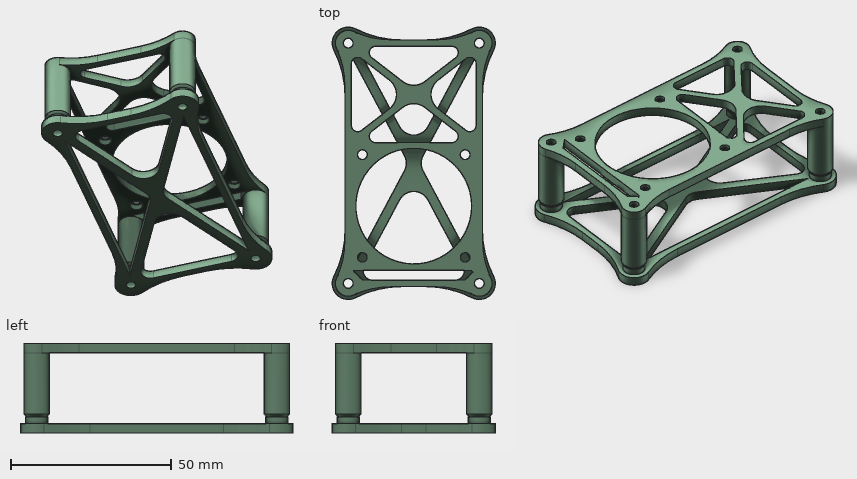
import cadquery as cq
import math

length = 84.9
width = 50.85
height = 28.0
plate_thickness = 3.0
base_corner_radius = 5.0
post_diameter = 8.0
post_x = width / 2 - base_corner_radius
post_y = length / 2 - base_corner_radius
side_offset = 1.0
side_x = post_x + side_offset
side_y = post_y + side_offset
base_flank_radius = 31.4
top_flank_radius = 27.2

screw_hole_diameter = 3.0
boss_diameter = 7.0
boss_height = 2.0
post_chamfer = 1.0
boss_top = plate_thickness + boss_height

rim = 2.0
window_half_x = side_x - rim
window_half_y = side_y - rim
base_rib = 3.0
base_hub_radius = 5.0
base_end_corner = 3.0
top_rib = 2.2
top_hub_radius = 5.7
top_corner = 1.95
top_window_bottom = 6.45

fan_y = -13.3
fan_diameter = 36.0
fan_hole_spacing = 32.0
fan_counterbore_diameter = 4.0
fan_counterbore_depth = 1.95
slot_depth = 3.05
slot_long_half = 18.85
slot_short_half = 15.9
slot_bevel_length = 1.0
slot_bevel_depth = 0.5

top_plate_bottom = height - plate_thickness
corner_axes = [(sx * post_x, sy * post_y) for sx in (-1, 1) for sy in (-1, 1)]


def plate(corner_radius, flank_radius, bottom):
    """Plate with four round corners, blended by tangent concave arcs into straight sides."""
    centre_gap = flank_radius + corner_radius
    rise = flank_radius + side_offset
    run = math.sqrt(centre_gap**2 - rise**2)

    side_end = (side_x, post_y - run)
    side_arc_centre = (side_x + flank_radius, post_y - run)
    end_arc_centre = (post_x - run, side_y + flank_radius)
    end_start = (post_x - run, side_y)

    def toward(start, target, distance):
        span = math.dist(start, target)
        return tuple(s + (t - s) * distance / span for s, t in zip(start, target))

    def flank_middle(arc_centre, plain_end, corner_end):
        chord_middle = ((plain_end[0] + corner_end[0]) / 2, (plain_end[1] + corner_end[1]) / 2)
        return toward(arc_centre, chord_middle, flank_radius)

    post = (post_x, post_y)
    corner_start = toward(post, side_arc_centre, corner_radius)
    corner_tip = toward(post, (2 * post_x, post_y + post_x), corner_radius)
    corner_end = toward(post, end_arc_centre, corner_radius)
    side_flank = flank_middle(side_arc_centre, side_end, corner_start)
    end_flank = flank_middle(end_arc_centre, end_start, corner_end)

    quarter = (
        cq.Workplane("XY", origin=(0, 0, bottom))
        .moveTo(0, 0)
        .lineTo(side_x, 0)
        .lineTo(*side_end)
        .threePointArc(side_flank, corner_start)
        .threePointArc(corner_tip, corner_end)
        .threePointArc(end_flank, end_start)
        .lineTo(0, side_y)
        .close()
        .extrude(plate_thickness)
    )
    half = quarter.union(quarter.mirror("YZ"))
    return half.union(half.mirror("XZ")).clean()


def cylinders(points, diameter, bottom, top):
    return (
        cq.Workplane("XY", origin=(0, 0, bottom)).pushPoints(points).circle(diameter / 2).extrude(top - bottom)
    )


def window_pockets(half_x, half_y, centre_y, rib, hub_radius, end_corner, side_corner, bottom):
    """Four triangular pockets left in a rectangle by ribs along its diagonals."""
    diagonal = math.hypot(half_x, half_y)
    apex_x = rib / 2 * diagonal / half_y
    apex_y = rib / 2 * diagonal / half_x
    base_half_x = half_x - apex_x
    base_half_y = half_y - apex_y
    triangles = []
    for sign in (-1, 1):
        end_points = [(0, sign * apex_y), (base_half_x, sign * half_y), (-base_half_x, sign * half_y)]
        side_points = [(sign * apex_x, 0), (sign * half_x, base_half_y), (sign * half_x, -base_half_y)]
        inward, outward = ("<", ">") if sign > 0 else (">", "<")
        triangles.append((end_points, inward + "Y", outward + "Y", end_corner))
        triangles.append((side_points, inward + "X", outward + "X", side_corner))

    pockets = cq.Workplane("XY")
    for points, apex_edge, corner_edges, corner_radius in triangles:
        pocket = (
            cq.Workplane("XY", origin=(0, centre_y, bottom))
            .polyline(points)
            .close()
            .extrude(plate_thickness)
        )
        if corner_radius > 0:
            pocket = pocket.edges("|Z").edges(corner_edges).fillet(corner_radius)
        pocket = pocket.edges("|Z").edges(apex_edge).fillet(hub_radius)
        pockets = pockets.add(pocket)
    return pockets.combine()


def make_base():
    """Bottom plate with a short boss at each corner."""
    base = plate(base_corner_radius, base_flank_radius, 0)
    base = base.cut(
        window_pockets(
            half_x=window_half_x,
            half_y=window_half_y,
            centre_y=0,
            rib=base_rib,
            hub_radius=base_hub_radius,
            end_corner=base_end_corner,
            side_corner=0,
            bottom=0,
        )
    )
    base = base.union(cylinders(corner_axes, boss_diameter, plate_thickness, boss_top))
    return base.cut(cylinders(corner_axes, screw_hole_diameter, 0, boss_top))


def end_slot():
    """Trapezoidal slot between the fan opening and the -Y rim, with its +X tip bevelled."""
    outer_y = -window_half_y
    inner_y = outer_y + slot_depth
    end_slope = (slot_long_half - slot_short_half) / slot_depth
    return (
        cq.Workplane("XY", origin=(0, 0, top_plate_bottom))
        .polyline(
            [
                (-slot_long_half, inner_y),
                (slot_long_half - slot_bevel_length, inner_y),
                (slot_long_half - slot_bevel_depth * end_slope, inner_y - slot_bevel_depth),
                (slot_short_half, outer_y),
                (-slot_short_half, outer_y),
            ]
        )
        .close()
        .extrude(plate_thickness)
    )


def make_cover():
    """Top plate with the fan opening and a long post hanging from each corner."""
    cover = plate(post_diameter / 2, top_flank_radius, top_plate_bottom)
    window_centre = (window_half_y + top_window_bottom) / 2
    window_height = window_half_y - top_window_bottom
    cover = cover.cut(
        window_pockets(
            half_x=window_half_x,
            half_y=window_height / 2,
            centre_y=window_centre,
            rib=top_rib,
            hub_radius=top_hub_radius,
            end_corner=top_corner,
            side_corner=top_corner,
            bottom=top_plate_bottom,
        )
    )
    cover = cover.cut(end_slot())

    fan_offset = fan_hole_spacing / 2
    fan_holes = [(sx * fan_offset, fan_y + sy * fan_offset) for sx in (-1, 1) for sy in (-1, 1)]
    cover = cover.cut(cylinders([(0, fan_y)], fan_diameter, top_plate_bottom, height))
    counterbore_top = top_plate_bottom + fan_counterbore_depth
    cover = cover.cut(cylinders(fan_holes, screw_hole_diameter, top_plate_bottom, height))
    cover = cover.cut(cylinders(fan_holes, fan_counterbore_diameter, top_plate_bottom, counterbore_top))

    posts = cylinders(corner_axes, post_diameter, boss_top, top_plate_bottom).faces("<Z").chamfer(post_chamfer)
    cover = cover.union(posts).clean()
    return cover.cut(cylinders(corner_axes, screw_hole_diameter, boss_top, height))


base = make_base()
cover = make_cover()
result = cq.Compound.makeCompound([base.solids().val(), cover.solids().val()])